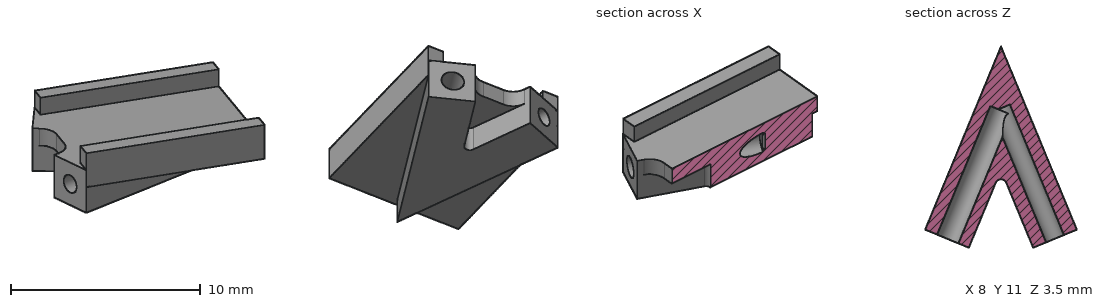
import cadquery as cq
import math

width = 8.0
total_length = 10.96
plate_length = 10.0
plate_bottom = 1.5
arm_height = 2.5
total_height = 3.5
rail_width = 0.92
arm_width = 2.5
arm_angle = math.radians(22.5)
notch_radius = 1.0
crotch_radius = 0.3
left_bore_diameter = 1.21
right_bore_diameter = 1.01
left_bore_offset = 0.04

half_width = width / 2
plate_front = total_length - plate_length
arm_corner_y = arm_width * math.sin(arm_angle)
tip_x = half_width - arm_width * math.cos(arm_angle)
apex_y = arm_corner_y + half_width / math.tan(arm_angle)
crotch_y = tip_x / math.tan(arm_angle)


def box(x_min, x_max, z_min, z_max):
    """Full-length block of the carrier plate or one of its rails."""
    return cq.Workplane("XY").box(
        x_max - x_min, plate_length, z_max - z_min, centered=False
    ).translate((x_min, plate_front, z_min))


def make_arms():
    """Two arms joined in an inverted V, rounded at the inner corner."""
    outline = [
        (-half_width, arm_corner_y),
        (-tip_x, 0),
        (0, crotch_y),
        (tip_x, 0),
        (half_width, arm_corner_y),
        (0, apex_y),
    ]
    arms = cq.Workplane("XY").polyline(outline).close().extrude(arm_height)
    crotch = cq.selectors.NearestToPointSelector((0, crotch_y, arm_height / 2))
    return arms.edges(crotch).fillet(crotch_radius)


def notch_corner(side):
    """Concave web that blends the plate front into an arm's inner side."""
    corner_x = tip_x - plate_front * math.tan(arm_angle)
    half_corner = (math.pi / 2 + arm_angle) / 2
    tangent_length = notch_radius / math.tan(half_corner)
    plate_tangent_x = corner_x - tangent_length
    arm_tangent_x = corner_x + tangent_length * math.sin(arm_angle)
    arm_tangent_y = plate_front - tangent_length * math.cos(arm_angle)
    center_y = plate_front - notch_radius
    middle = (
        side * (plate_tangent_x + notch_radius * math.cos(half_corner)),
        center_y + notch_radius * math.sin(half_corner),
    )
    return (
        cq.Workplane("XY", origin=(0, 0, plate_bottom))
        .moveTo(side * plate_tangent_x, plate_front)
        .threePointArc(middle, (side * arm_tangent_x, arm_tangent_y))
        .lineTo(side * corner_x, plate_front)
        .close()
        .extrude(arm_height - plate_bottom)
    )


def bore(side, diameter, offset=0.0):
    """Blind bore along an arm, ending on the middle plane of the part."""
    mouth_x = (half_width + tip_x) / 2 - offset * math.cos(arm_angle)
    mouth_y = arm_corner_y / 2 - offset * math.sin(arm_angle)
    mouth = cq.Vector(side * mouth_x, mouth_y, arm_height / 2)
    direction = cq.Vector(-side * math.sin(arm_angle), math.cos(arm_angle), 0)
    depth = mouth_x / math.sin(arm_angle)
    return cq.Solid.makeCylinder(diameter / 2, depth, mouth, direction)


result = make_arms().union(box(-half_width, half_width, plate_bottom, arm_height))

for side in (-1, 1):
    result = result.union(notch_corner(side))

result = result.union(box(-half_width, -half_width + rail_width, arm_height, total_height))
result = result.union(box(half_width - rail_width, half_width, arm_height, total_height))

result = result.cut(bore(-1, left_bore_diameter, left_bore_offset))
result = result.cut(bore(1, right_bore_diameter))